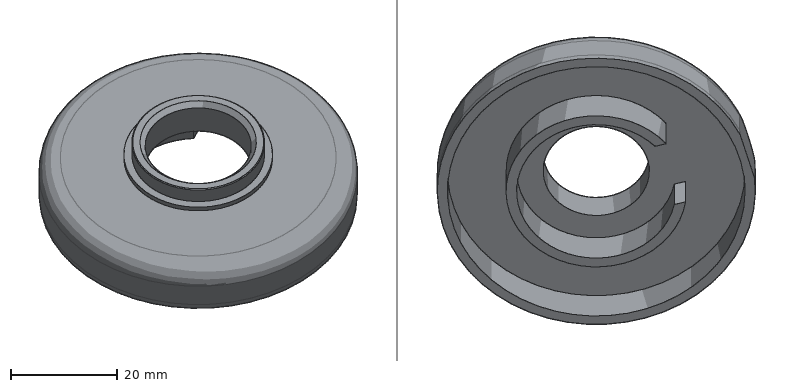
import cadquery as cq

cover_radius = 30.0
cover_height = 10.0
cover_fillet = 4.0
skirt_height = 1.1
skirt_taper = 0.05
flat_y = 29.5

flange_radius = 28.0 / 2
flange_height = 0.95
collar_radius = 25.0 / 2
total_height = 14.2
collar_edge_chamfer = 0.2
bore_radius = 20.0 / 2
bore_chamfer = 0.95

plate_thickness = 3.0
wall_thickness = 2.0
cavity_depth = cover_height - plate_thickness

ring_inner_radius = 30.0 / 2
ring_gap_width = 13.55


def cylinder(radius, height, base_z=0.0):
    return cq.Workplane("XY").workplane(offset=base_z).circle(radius).extrude(height)


def make_cover():
    """Round cover with a filleted top, a tapered foot and a small flat on +Y."""
    body = cylinder(cover_radius, cover_height)
    body = body.faces(">Z").edges().fillet(cover_fillet)
    body = body.faces("<Z").edges().chamfer(skirt_height, skirt_taper)
    flat_cutter = cq.Workplane("XY").box(
        2 * cover_radius, cover_radius, cover_height, centered=(True, False, False)
    )
    body = body.cut(flat_cutter.translate((0, flat_y, 0)))
    return body.cut(cylinder(cover_radius - wall_thickness, cavity_depth))


def make_collar():
    """Stepped collar standing on the cover."""
    flange = cylinder(flange_radius, flange_height, cover_height)
    collar = cylinder(collar_radius, total_height - cover_height, cover_height)
    collar = collar.faces(">Z").edges().chamfer(collar_edge_chamfer)
    return flange.union(collar)


def make_ring():
    """Ring under the plate with a straight-sided gap toward +Y."""
    outer_radius = ring_inner_radius + wall_thickness
    ring = cylinder(outer_radius, cavity_depth).cut(cylinder(ring_inner_radius, cavity_depth))
    gap = cq.Workplane("XY").box(
        ring_gap_width, outer_radius, cavity_depth, centered=(True, False, False)
    )
    return ring.cut(gap)


def make_bore():
    """Through bore with a countersunk mouth."""
    mouth_radius = bore_radius + bore_chamfer
    mouth_bottom = total_height - bore_chamfer
    profile = [
        (0, 0),
        (bore_radius, 0),
        (bore_radius, mouth_bottom),
        (mouth_radius, total_height),
        (0, total_height),
    ]
    return cq.Workplane("XZ").polyline(profile).close().revolve(360, (0, 0, 0), (0, 1, 0))


result = make_cover().union(make_collar()).union(make_ring()).cut(make_bore())